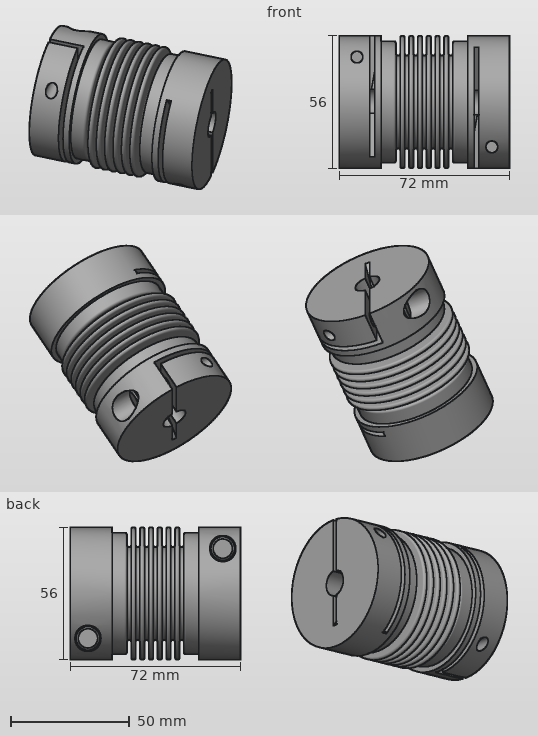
import cadquery as cq
import math


length = 72.0
outer_radius = 28.0
bore_radius = 5.5

hub_length = 17.7
collar_end = 24.05
collar_radius = 25.7
collar_fillet = 1.0

fin_count = 6
fin_width = 2.0
valley_bottom_radius = 19.6

slit_width = 2.0
slit_end = 15.0
axial_slit_depth = 18.65
cross_slit_depth = 23.05

sliver_base_x = 1.4
sliver_base_y = 0.7
sliver_base_z = 5.05
sliver_tip_z = 12.6

screw_x = 7.55
screw_z = 18.9
shank_diameter = 6.0
shank_end_y = -10.8
threaded_hole_diameter = 5.0
head_diameter = 10.0
head_top_y = 15.1
head_height = 6.0
head_chamfer = 0.9
counterbore_diameter = 11.0

slit_start = slit_end - slit_width
half_slit = slit_width / 2
seat_y = head_top_y - head_height
fin_radius = fin_width / 2
bellows_length = length - 2 * collar_end
valley_width = (bellows_length - fin_count * fin_width) / (fin_count + 1)
valley_radius = valley_width / 2
valley_flank = valley_bottom_radius + valley_radius
fin_flank = outer_radius - fin_radius
clearance = outer_radius + 0.7


def cylinder_x(start, end, radius):
    return cq.Workplane("YZ", origin=(start, 0, 0)).circle(radius).extrude(end - start)


def screw_cylinder(start_y, end_y, diameter):
    plane = cq.Plane(origin=(screw_x, start_y, screw_z), xDir=(1, 0, 0), normal=(0, 1, 0))
    return cq.Workplane(plane).circle(diameter / 2).extrude(end_y - start_y)


def add_valley(profile, start):
    """Continue the profile from one flank across a round-bottomed valley."""
    middle = (start + valley_radius, valley_bottom_radius)
    return profile.threePointArc(middle, (start + valley_width, valley_flank))


def make_bellows():
    x = collar_end
    profile = cq.Workplane("XY").moveTo(x, 0).lineTo(x, valley_flank)
    for _ in range(fin_count):
        profile = add_valley(profile, x)
        x += valley_width
        profile = profile.lineTo(x, fin_flank)
        profile = profile.threePointArc((x + fin_radius, outer_radius), (x + fin_width, fin_flank))
        x += fin_width
        profile = profile.lineTo(x, valley_flank)
    profile = add_valley(profile, x)
    profile = profile.lineTo(length - collar_end, 0).close()
    return profile.revolve(360, (0, 0, 0), (1, 0, 0))


def make_axial_slit():
    """Slit from the end face, with a floor rising to the axis at its inner end."""
    outline = [(0, -axial_slit_depth), (slit_end, 0), (slit_end, clearance), (0, clearance)]
    return cq.Workplane("XZ").polyline(outline).close().extrude(half_slit, both=True)


def make_cross_slit():
    """Slit across the -Y side, with a floor falling from the axis to the rim."""
    rim_y = -math.sqrt(outer_radius**2 - cross_slit_depth**2)
    outline = [
        (half_slit, 0),
        (rim_y, -cross_slit_depth),
        (-clearance, -cross_slit_depth),
        (-clearance, clearance),
        (half_slit, clearance),
    ]
    return cq.Workplane("YZ", origin=(slit_start, 0, 0)).polyline(outline).close().extrude(slit_width)


def make_sliver():
    """Three-sided spike standing against both slit walls."""
    corner = cq.Vector(slit_end, half_slit, sliver_base_z)
    along_x = cq.Vector(slit_end - sliver_base_x, half_slit, sliver_base_z)
    along_y = cq.Vector(slit_end, half_slit - sliver_base_y, sliver_base_z)
    tip = cq.Vector(slit_end, half_slit, sliver_tip_z)
    sides = [
        (corner, along_x, along_y),
        (corner, along_x, tip),
        (corner, along_y, tip),
        (along_x, along_y, tip),
    ]
    faces = [cq.Face.makeFromWires(cq.Wire.makePolygon(side, close=True)) for side in sides]
    return cq.Workplane(cq.Solid.makeSolid(cq.Shell.makeShell(faces)))


def make_hub():
    """Hub at X = 0 with its collar, slits and clamping screw."""
    collar = cylinder_x(0, collar_end, collar_radius).faces(">X").edges().fillet(collar_fillet)
    hub = cylinder_x(0, hub_length, outer_radius).union(collar)
    hub = hub.cut(make_axial_slit()).cut(make_cross_slit()).union(make_sliver())
    hub = hub.cut(cylinder_x(0, collar_end, bore_radius))
    hub = hub.cut(screw_cylinder(-clearance, shank_end_y, threaded_hole_diameter))
    hub = hub.cut(screw_cylinder(seat_y, clearance, counterbore_diameter))
    head = screw_cylinder(seat_y, head_top_y, head_diameter).faces(">Y").edges().chamfer(head_chamfer)
    shank = screw_cylinder(shank_end_y, seat_y, shank_diameter)
    return hub.union(shank).union(head)


half_length = length / 2
first_hub = make_hub()
second_hub = first_hub.rotate((half_length, 0, 0), (half_length, 1, 0), 180)
bellows = make_bellows().cut(cylinder_x(0, length, bore_radius))
result = first_hub.union(bellows).union(second_hub).solids()